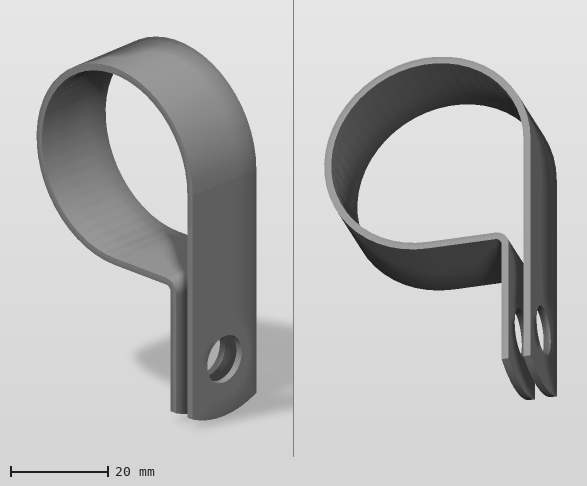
import cadquery as cq
import math

strip_width = 19.05
thickness = 1.524
loop_inner_diameter = 41.275
leg_gap = 3.175
bend_inner_radius = 1.4
leg_drop = 52.38
hole_diameter = 10.32
hole_height = 12.7
end_radius = 22.2

inner_radius = loop_inner_diameter / 2
outer_radius = inner_radius + thickness
bend_outer_radius = bend_inner_radius + thickness
short_leg_outer_x = inner_radius - leg_gap
short_leg_inner_x = short_leg_outer_x - thickness
bend_center_x = short_leg_inner_x - bend_inner_radius
bend_center_z = -outer_radius - bend_inner_radius
bottom_z = -leg_drop
hole_z = bottom_z + hole_height


def polar_point(center_x, center_z, radius, degrees):
    """Point on a circle in the XZ plane."""
    angle = math.radians(degrees)
    return (center_x + radius * math.cos(angle), center_z + radius * math.sin(angle))


def bent_strip():
    """Strip wrapped around the loop, with a long tangent leg and a short bent leg."""
    loop_mid_angle = 135
    bend_mid_angle = 45
    profile = (
        cq.Workplane("XZ")
        .moveTo(outer_radius, bottom_z)
        .lineTo(outer_radius, 0)
        .threePointArc(polar_point(0, 0, outer_radius, loop_mid_angle), (0, -outer_radius))
        .lineTo(bend_center_x, -outer_radius)
        .threePointArc(
            polar_point(bend_center_x, bend_center_z, bend_inner_radius, bend_mid_angle),
            (short_leg_inner_x, bend_center_z),
        )
        .lineTo(short_leg_inner_x, bottom_z)
        .lineTo(short_leg_outer_x, bottom_z)
        .lineTo(short_leg_outer_x, bend_center_z)
        .threePointArc(
            polar_point(bend_center_x, bend_center_z, bend_outer_radius, bend_mid_angle),
            (bend_center_x, -inner_radius),
        )
        .lineTo(0, -inner_radius)
        .threePointArc(polar_point(0, 0, inner_radius, loop_mid_angle), (inner_radius, 0))
        .lineTo(inner_radius, bottom_z)
        .close()
    )
    return profile.extrude(strip_width / 2, both=True)


def rounded_end_envelope():
    """Block around the whole strip whose bottom is an arc across the strip width."""
    half_width = strip_width / 2
    end_rise = end_radius - math.sqrt(end_radius**2 - half_width**2)
    corner_z = bottom_z + end_rise
    return (
        cq.Workplane("YZ")
        .moveTo(-half_width, outer_radius)
        .lineTo(-half_width, corner_z)
        .threePointArc((0, bottom_z), (half_width, corner_z))
        .lineTo(half_width, outer_radius)
        .close()
        .extrude(outer_radius, both=True)
    )


def bolt_hole():
    """Cylinder through both legs."""
    return (
        cq.Workplane("YZ")
        .center(0, hole_z)
        .circle(hole_diameter / 2)
        .extrude(outer_radius)
    )


result = bent_strip().intersect(rounded_end_envelope()).cut(bolt_hole())